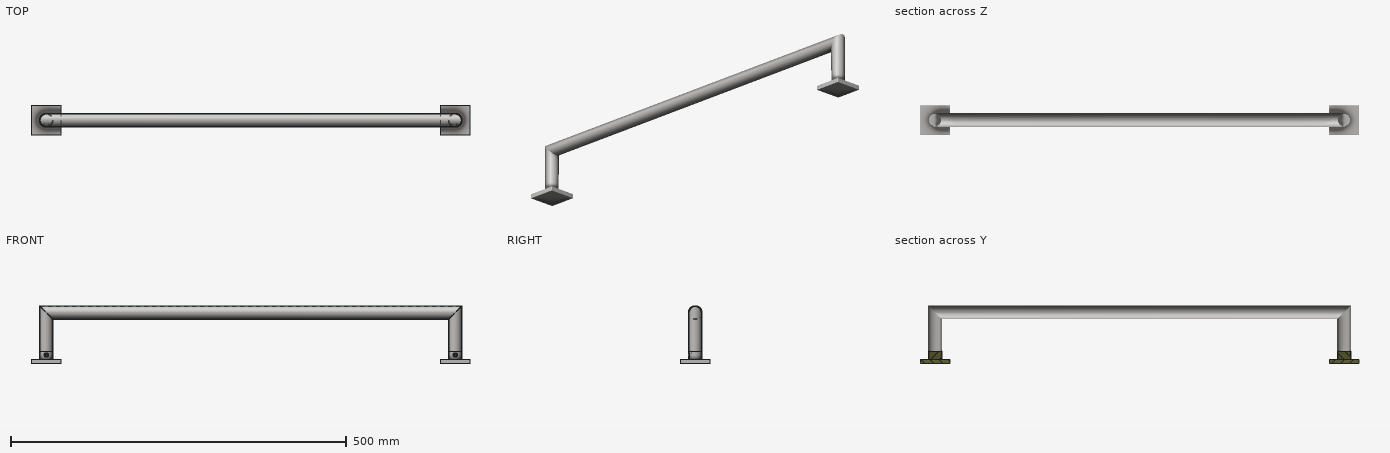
import cadquery as cq

OVERALL_LENGTH = 654.0
OVERALL_HEIGHT = 86.5
PLATE_SIDE = 44.5
PLATE_THICKNESS = 6.5
PLATE_EDGE_RADIUS = 0.3
POST_SPACING = OVERALL_LENGTH - PLATE_SIDE

TUBE_DIAMETER = 20.0
TUBE_WALL = 1.0
BORE_DIAMETER = TUBE_DIAMETER - 2 * TUBE_WALL
AXIS_HEIGHT = OVERALL_HEIGHT - TUBE_DIAMETER / 2

SPIGOT_TOP = 18.0
SCREW_HEIGHT = 13.0
SCREW_DIAMETER = 6.5
SCREW_TIP_DEPTH = 4.0
SOCKET_WIDTH = 3.0
SOCKET_DEPTH = 2.5

TUBE_RADIUS = TUBE_DIAMETER / 2
BORE_RADIUS = BORE_DIAMETER / 2
SCREW_TIP_Y = -(BORE_RADIUS - SCREW_TIP_DEPTH)
POST_POSITIONS = [-POST_SPACING / 2, POST_SPACING / 2]


def mitred_bar(diameter):
    """Round bar swept up one leg, along the rail and down the other leg, with mitred corners."""
    left, right = POST_POSITIONS
    path = (
        cq.Workplane("XZ")
        .moveTo(left, PLATE_THICKNESS)
        .lineTo(left, AXIS_HEIGHT)
        .lineTo(right, AXIS_HEIGHT)
        .lineTo(right, PLATE_THICKNESS)
    )
    profile = cq.Workplane("XY").workplane(offset=PLATE_THICKNESS).center(left, 0).circle(diameter / 2)
    return profile.sweep(path, transition="right")


def screw_cylinder(x):
    """Cylinder on the screw axis, from the screw tip out to the front of the leg."""
    return (
        cq.Workplane("XZ", origin=(x, SCREW_TIP_Y, SCREW_HEIGHT))
        .circle(SCREW_DIAMETER / 2)
        .extrude(TUBE_RADIUS + SCREW_TIP_Y)
    )


def make_handrail():
    """Hollow rail and legs in one piece, with a screw hole at the foot of each leg."""
    handrail = mitred_bar(TUBE_DIAMETER).cut(mitred_bar(BORE_DIAMETER))
    for x in POST_POSITIONS:
        handrail = handrail.cut(screw_cylinder(x))
    return handrail


def make_plate(x):
    """Square wall plate under one leg, its upright and top edges slightly rounded."""
    return (
        cq.Workplane("XY", origin=(x, 0, 0))
        .rect(PLATE_SIDE, PLATE_SIDE)
        .extrude(PLATE_THICKNESS)
        .edges("|Z or >Z")
        .fillet(PLATE_EDGE_RADIUS)
    )


def make_spigot(x):
    """Round spigot on the plate that fills the foot of the leg, drilled for the set screw."""
    spigot = (
        cq.Workplane("XY", origin=(x, 0, PLATE_THICKNESS))
        .circle(BORE_RADIUS)
        .extrude(SPIGOT_TOP - PLATE_THICKNESS)
    )
    return spigot.cut(screw_cylinder(x))


def make_set_screw(x):
    """Headless screw with a hexagon socket, its outer end flush with the front of the spigot."""
    screw = (
        cq.Workplane("XZ", origin=(x, SCREW_TIP_Y, SCREW_HEIGHT))
        .circle(SCREW_DIAMETER / 2)
        .extrude(SCREW_TIP_DEPTH)
    )
    return screw.faces("<Y").workplane().polygon(6, SOCKET_WIDTH).cutBlind(-SOCKET_DEPTH)


handrail = make_handrail()
bodies = [handrail.val()]
for post_x in POST_POSITIONS:
    bodies.append(make_plate(post_x).val())
    bodies.append(make_spigot(post_x).val())
    bodies.append(make_set_screw(post_x).val())

result = cq.Compound.makeCompound(bodies)